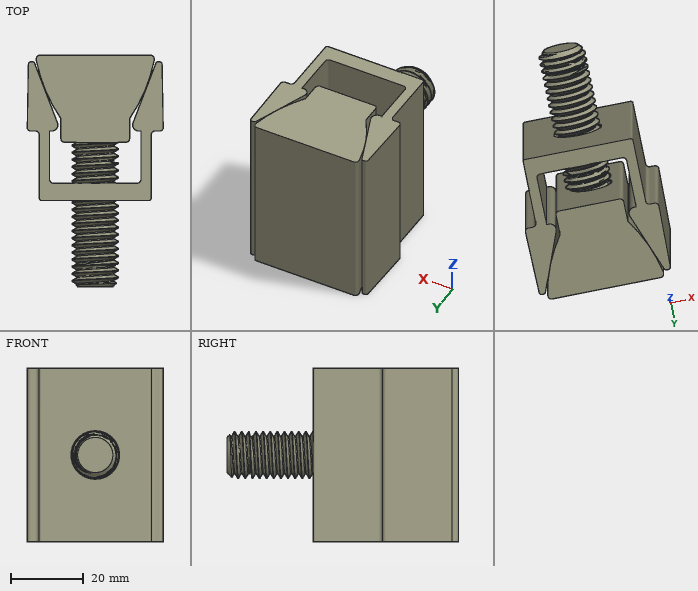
import cadquery as cq
import math


length = 47.6
total_depth = 63.5
wedge_top = 39.9
screw_tip = wedge_top - total_depth
soft_radius = 1.0

housing_width = 37.35
wall_outer = 15.35
wall_thickness = 2.85
wall_inner = wall_outer - wall_thickness
floor_thickness = 4.8
floor_corner_radius = 0.65
jaw_bottom = 19.05
jaw_top = 38.1
jaw_height = jaw_top - jaw_bottom
jaw_draft = 1.0
jaw_slant = 21.0
jaw_tip_inner = 16.75
jaw_tip_radius = 0.75
jaw_nose_radius = 1.7
jaw_heel = housing_width / 2 + soft_radius * math.tan(math.radians(jaw_draft))
jaw_tip_outer = jaw_heel - jaw_height * math.tan(math.radians(jaw_draft))
jaw_nose = jaw_tip_inner - jaw_height * math.tan(math.radians(jaw_slant))
screw_hole_diameter = 13.35

wedge_half_width = 16.2
wedge_stem_half_width = 9.45
wedge_bottom = 16.0
wedge_shoulder = 22.55
wedge_flank_top = 38.5
wedge_flank_bulge = 0.9

screw_diameter = 12.8
thread_root_diameter = 10.4
thread_pitch = 25.4 / 13
thread_crest_flat = 0.2
thread_root_flat = 0.3
ridge_run_out = 2 * thread_pitch
first_crest = 0.65
screw_tip_diameter = 9.65
ridge_overlap = 0.1
trim_margin = 0.65
screw_length = wedge_bottom - screw_tip


def round_edges(body, points, radius):
    """Round the edges along Z that pass through the given XY points and their mirror images."""
    for x, y in points:
        for side in (-1, 1):
            body = body.edges(cq.selectors.NearestToPointSelector((side * x, y, 0))).fillet(radius)
    return body


def make_housing():
    half = [
        (wall_outer, 0),
        (wall_outer, jaw_bottom),
        (jaw_heel, jaw_bottom),
        (jaw_tip_outer, jaw_top),
        (jaw_tip_inner, jaw_top),
        (jaw_nose, jaw_bottom),
        (wall_inner, jaw_bottom),
        (wall_inner, floor_thickness),
    ]
    mirrored = [(-x, y) for x, y in reversed(half)]
    body = cq.Workplane("XY").polyline(half + mirrored).close().extrude(length / 2, both=True)

    floor_corner, jaw_root, heel, tip_outer, tip_inner, nose, _, pocket_corner = half
    body = round_edges(body, [floor_corner], floor_corner_radius)
    body = round_edges(body, [jaw_root, heel, pocket_corner], soft_radius)
    body = round_edges(body, [tip_outer, tip_inner], jaw_tip_radius)
    body = round_edges(body, [nose], jaw_nose_radius)

    hole = cq.Workplane("XZ").circle(screw_hole_diameter / 2).extrude(-floor_thickness)
    return body.cut(hole)


def make_wedge():
    flank_start = (wedge_half_width, wedge_flank_top)
    flank_end = (wedge_stem_half_width, wedge_shoulder)
    body = (
        cq.Workplane("XY")
        .moveTo(-wedge_stem_half_width, wedge_bottom)
        .lineTo(wedge_stem_half_width, wedge_bottom)
        .lineTo(*flank_end)
        .sagittaArc(flank_start, -wedge_flank_bulge)
        .lineTo(wedge_half_width, wedge_top)
        .lineTo(-wedge_half_width, wedge_top)
        .lineTo(-wedge_half_width, wedge_flank_top)
        .sagittaArc((-wedge_stem_half_width, wedge_shoulder), -wedge_flank_bulge)
        .close()
        .extrude(length / 2, both=True)
    )
    corners = [(wedge_stem_half_width, wedge_bottom), (wedge_half_width, wedge_top)]
    return round_edges(body, corners, soft_radius)


def make_thread_ridge():
    """Right-hand helical ridge about Z that runs past both ends of the screw."""
    crest_radius = screw_diameter / 2
    root_radius = thread_root_diameter / 2
    base_radius = root_radius - ridge_overlap
    crest_half_width = thread_crest_flat / 2
    root_half_width = (thread_pitch - thread_root_flat) / 2
    flank_slope = (root_half_width - crest_half_width) / (crest_radius - root_radius)
    base_half_width = crest_half_width + flank_slope * (crest_radius - base_radius)

    start = first_crest - ridge_run_out
    height = screw_length - start + thread_pitch
    profile = [
        (base_radius, -base_half_width),
        (crest_radius, -crest_half_width),
        (crest_radius, crest_half_width),
        (base_radius, base_half_width),
    ]
    helices = [
        cq.Wire.makeHelix(thread_pitch, height, radius, cq.Vector(0, 0, start + offset)).Edges()[0]
        for radius, offset in profile
    ]

    faces = [cq.Face.makeRuledSurface(helices[i - 1], helices[i]) for i in range(len(helices))]
    for end in (0, 1):
        corners = [helix.positionAt(end) for helix in helices]
        faces.append(cq.Face.makeFromWires(cq.Wire.makePolygon(corners, close=True)))
    ridge = cq.Solid.makeSolid(cq.Shell.makeShell(faces)).fix()
    return cq.Workplane(ridge)


def make_screw():
    """Threaded rod built along +Z from its chamfered tip, then laid along +Y."""
    core_overrun = 2 * ridge_run_out
    core = (
        cq.Workplane("XY", origin=(0, 0, -core_overrun))
        .circle(thread_root_diameter / 2)
        .extrude(screw_length + 2 * core_overrun)
    )
    rod = core.union(make_thread_ridge())

    blank_radius = screw_diameter / 2 + trim_margin
    blank = (
        cq.Workplane("XY")
        .circle(blank_radius)
        .extrude(screw_length)
        .faces("<Z")
        .chamfer(blank_radius - screw_tip_diameter / 2)
    )
    screw = rod.intersect(blank)
    return screw.rotate((0, 0, 0), (1, 0, 0), -90).translate((0, screw_tip, 0))


housing = make_housing()
wedge = make_wedge()
screw = make_screw()

result = cq.Compound.makeCompound([housing.solids().val(), wedge.solids().val(), screw.solids().val()])